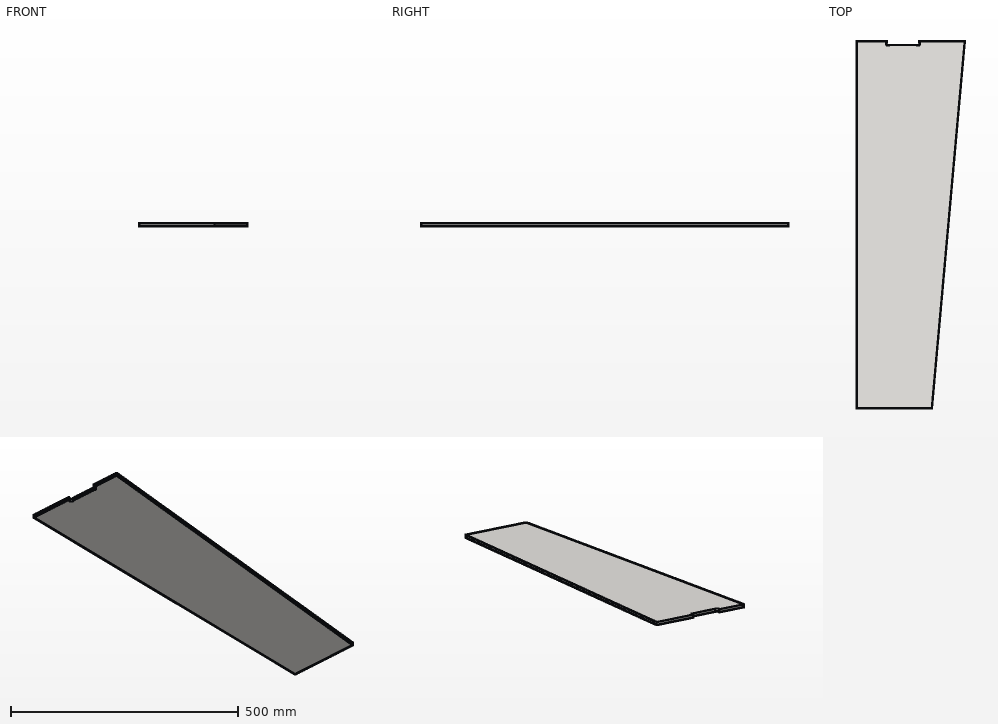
import cadquery as cq
import math


thickness = 7.0
body_length = 800.0
tab_length = 8.34
length = body_length + tab_length
wide_end = 238.48
narrow_end = 166.0

notch_start = 66.7
notch_width = 71.0

relief_diameter = 8.0


def tapered_plate():
    """Flat plate that widens along Y on its slanted +X side."""
    outline = [(0, 0), (narrow_end, 0), (wide_end, length), (0, length)]
    return cq.Workplane("XY").polyline(outline).close().extrude(thickness)


def end_notch():
    """Cutter for the rectangular notch and its two corner reliefs."""
    notch = (
        cq.Workplane("XY")
        .moveTo(notch_start, body_length)
        .rect(notch_width, tab_length, centered=False)
        .extrude(thickness)
    )
    relief_radius = relief_diameter / 2
    corner_inset = relief_radius / math.sqrt(2)
    relief_y = body_length + corner_inset
    relief_centers = [
        (notch_start + corner_inset, relief_y),
        (notch_start + notch_width - corner_inset, relief_y),
    ]
    reliefs = cq.Workplane("XY").pushPoints(relief_centers).circle(relief_radius).extrude(thickness)
    return notch.union(reliefs)


result = tapered_plate().cut(end_notch())